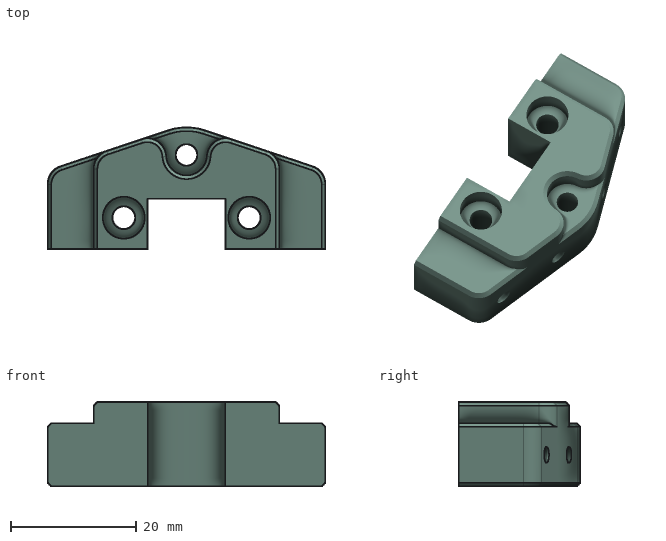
import cadquery as cq
import math

WIDTH = 44.3
DEPTH = 19.42
HEIGHT = 13.5
SHELF_HEIGHT = 10.1
UPPER_WIDTH = 29.6
EDGE_CHAMFER = 0.6

SLOPE = math.radians(18.5)
APEX_RADIUS = 9.0
CORNER_RADIUS = 3.0
APEX_SHARP_Y = DEPTH + APEX_RADIUS * (1 / math.cos(SLOPE) - 1)

SLOT_WIDTH = 12.4
SLOT_DEPTH = 8.0

SCREW_X = 10.0
SCREW_Y = 5.0
SCREW_DIAMETER = 3.6
HEAD_DIAMETER = 6.7
HEAD_DEPTH = HEIGHT - SHELF_HEIGHT

REAR_HOLE_Y = 15.0
REAR_HOLE_DIAMETER = 3.4
RECESS_RADIUS = 3.25
RECESS_LIP_RADIUS = 3.0

SIDE_HOLE_DIAMETER = 2.5
SIDE_HOLE_DEPTH = 6.0
SIDE_HOLE_Z = SHELF_HEIGHT / 2
SIDE_HOLE_X = (6.9, 17.6)


def slope_y(x):
    """Y of the sloping rear face at a distance x from the centre plane."""
    return APEX_SHARP_Y - x * math.tan(SLOPE)


def make_tier(width, height):
    """Block with the sloped rear outline, rounded at its side corners and apex."""
    half = width / 2
    outline = [(-half, 0), (half, 0), (half, slope_y(half)), (0, APEX_SHARP_Y), (-half, slope_y(half))]
    block = cq.Workplane("XY").polyline(outline).close().extrude(height)
    block = block.edges("|Z").edges("not (<Y or >Y)").fillet(CORNER_RADIUS)
    return block.edges("|Z and >Y").fillet(APEX_RADIUS)


def chamfer_rim(body, face):
    """Chamfer the rim of a horizontal face, except along the front face."""
    return body.faces(face).edges("not <Y").chamfer(EDGE_CHAMFER)


def make_recess():
    """Cutter for the rear recess: an arc about the hole that flares out to the slopes."""
    hole_to_slope = (APEX_SHARP_Y - REAR_HOLE_Y) * math.cos(SLOPE)
    across = hole_to_slope - RECESS_LIP_RADIUS
    along = math.sqrt((RECESS_RADIUS + RECESS_LIP_RADIUS) ** 2 - across ** 2)
    lip_x = along * math.cos(SLOPE) + across * math.sin(SLOPE)
    lip_y = REAR_HOLE_Y + across * math.cos(SLOPE) - along * math.sin(SLOPE)

    def on_lip(angle):
        return (
            lip_x + RECESS_LIP_RADIUS * math.cos(angle),
            lip_y + RECESS_LIP_RADIUS * math.sin(angle),
        )

    def mirrored(point):
        return (-point[0], point[1])

    slope_angle = math.pi / 2 - SLOPE
    inner_angle = math.atan2(REAR_HOLE_Y - lip_y, -lip_x) % (2 * math.pi)
    slope_end = on_lip(slope_angle)
    lip_middle = on_lip((slope_angle + inner_angle) / 2)
    inner_end = on_lip(inner_angle)
    beyond = (0, APEX_SHARP_Y)

    return (
        cq.Workplane("XY")
        .moveTo(*beyond)
        .lineTo(*slope_end)
        .threePointArc(lip_middle, inner_end)
        .threePointArc((0, REAR_HOLE_Y - RECESS_RADIUS), mirrored(inner_end))
        .threePointArc(mirrored(lip_middle), mirrored(slope_end))
        .close()
        .extrude(HEIGHT)
    )


def make_body():
    """Wide lower tier with the recessed upper tier standing flush on its slopes."""
    lower = make_tier(WIDTH, SHELF_HEIGHT)
    lower = chamfer_rim(chamfer_rim(lower, ">Z"), "<Z")
    upper_base = SHELF_HEIGHT - EDGE_CHAMFER
    upper = make_tier(UPPER_WIDTH, HEIGHT - upper_base).cut(make_recess())
    upper = chamfer_rim(upper, ">Z").translate((0, 0, upper_base))
    return lower.union(upper)


def cut_slot(body):
    """Cut the rectangular slot through the full height at the front."""
    slot = cq.Workplane("XY").box(SLOT_WIDTH, SLOT_DEPTH, HEIGHT, centered=(True, False, False))
    return body.cut(slot)


def cut_screw_holes(body):
    """Cut the two counterbored screw holes and the plain rear hole."""
    screw_points = [(-SCREW_X, SCREW_Y), (SCREW_X, SCREW_Y)]
    base = cq.Workplane("XY")
    shanks = base.pushPoints(screw_points).circle(SCREW_DIAMETER / 2).extrude(HEIGHT)
    heads = (
        base.workplane(offset=HEIGHT - HEAD_DEPTH)
        .pushPoints(screw_points)
        .circle(HEAD_DIAMETER / 2)
        .extrude(HEAD_DEPTH)
    )
    rear_hole = base.center(0, REAR_HOLE_Y).circle(REAR_HOLE_DIAMETER / 2).extrude(HEIGHT)
    return body.cut(shanks).cut(heads).cut(rear_hole)


def cut_side_holes(body):
    """Drill the blind holes square into both sloping faces."""
    for side in (-1, 1):
        inward = cq.Vector(-side * math.sin(SLOPE), -math.cos(SLOPE), 0)
        for x in SIDE_HOLE_X:
            start = cq.Vector(side * x, slope_y(x), SIDE_HOLE_Z)
            drill = cq.Solid.makeCylinder(SIDE_HOLE_DIAMETER / 2, SIDE_HOLE_DEPTH, start, inward)
            body = body.cut(cq.Workplane(drill))
    return body


result = cut_side_holes(cut_screw_holes(cut_slot(make_body())))